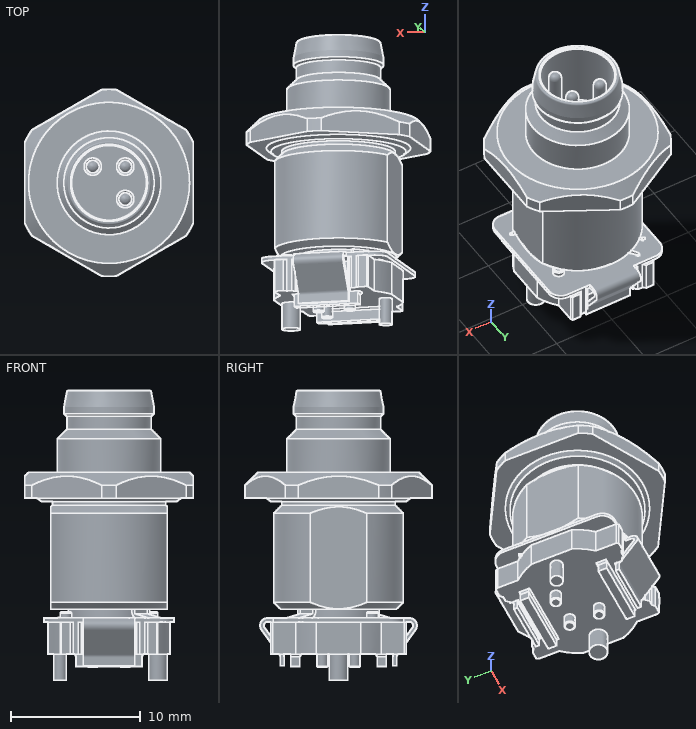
import cadquery as cq
import math


TOP_Z = 22.3
SNAP_TAPER_Z = 21.03
SNAP_Z = 20.5
GROOVE_Z = 20.3
COLLAR_CONE_Z = 19.31
COLLAR_Z = 18.58
HEX_TOP_Z = 16.01
HEX_BOTTOM_Z = 14.0
SEAL_Z = 13.74
BODY_TOP_Z = 13.47
BODY_BOTTOM_Z = 5.46
PLATE_TOP_Z = 4.8
PLATE_THICKNESS = 0.31
PLATE_BOTTOM_Z = PLATE_TOP_Z - PLATE_THICKNESS
HOUSING_BOTTOM_Z = 2.0
SPRING_BOTTOM_Z = 1.12
FOOT_BOTTOM_Z = 1.05
CONTACT_TAIL_Z = 1.0

RIM_RADIUS = 3.23
RIM_ROUNDING = 0.15
PLUG_RADIUS = 3.25
SNAP_RADIUS = 3.48
COLLAR_RADIUS = 4.0
SEAL_TOP_RADIUS = 5.55
SEAL_BOTTOM_RADIUS = 5.2
RELIEF_RADIUS = 4.37
BODY_RADIUS = 5.0
BODY_TOP_CHAMFER = BODY_RADIUS - RELIEF_RADIUS
BODY_BOTTOM_CHAMFER = 0.54
BODY_FLATS = 8.99
NECK_RADIUS = 3.15

HEX_FLATS = 13.0
HEX_HALF_ANGLE = 30
HEX_CORNER_RADIUS = 7.2
HEX_FACE_RADIUS = 6.2

BORE_RADIUS = 2.88
BORE_DEPTH = 5.58
BORE_LIP = 0.1
CONTACT_OFFSET = 1.25
CONTACT_POINTS = [(-CONTACT_OFFSET, CONTACT_OFFSET), (CONTACT_OFFSET, CONTACT_OFFSET),
                  (CONTACT_OFFSET, -CONTACT_OFFSET)]
CONTACT_RADIUS = 0.5
CONTACT_ROUNDING = 0.45
CONTACT_TOP_Z = 22.0
CONTACT_RECESS_RADIUS = 0.67
CONTACT_RECESS_DEPTH = 0.22
CONTACT_TAIL_RADIUS = 0.42
CONTACT_TAIL_CHAMFER = 0.07

HOUSING_RADIUS = BODY_RADIUS
HOUSING_LENGTH_X = 9.39
HOUSING_BLOCK_X = 7.5
HOUSING_LENGTH_Y = 10.44
RECESS_MOUTH_HALF = 2.99
RECESS_HALF = 2.77
POCKET_MOUTH_HALF = 2.36
POCKET_STEP_HALF = 2.15
POCKET_HALF = 2.03
POCKET_SLANT_DEPTH = 0.45
POCKET_DEPTH = 1.12
RAMP_BOTTOM_Z = 2.75
RAMP_RISE = 1.0
CORNER_BEVEL_X = 0.1
CORNER_BEVEL_Y = 0.18
FOOT_LENGTH = 5.08
FOOT_WIDTH = 0.71
FOOT_OFFSET = 3.32
FOOT_FLARE = 0.13
FOOT_FLARE_Z = 1.83
PEG_OFFSET = 3.77
SMALL_PEG_RADIUS = 0.5
LARGE_PEG_RADIUS = 0.71

PLATE_SIZE = 10.04
JOINT_OVERLAP = 0.22
PLATE_CORNER_RADIUS = 1.05
RECESS_DEPTH = (HOUSING_LENGTH_Y - PLATE_SIZE) / 2
SPRING_WIDTH = 3.97
SPRING_CURL_Y = 5.46
SPRING_CURL_RADIUS = 0.58
SPRING_SLOPE = 54.0
SPRING_TAIL_Y = 4.48
SPRING_BEND_RADIUS = 0.33
STUD_X = 3.32
STUD_Y = 2.6
STUD_RADIUS = 0.45
STUD_TOP_Z = 5.26
STUD_CHAMFER = 0.1
FINGER_ANGLES = (135, 315)
FINGER_WIDTH = 1.38
FINGER_HINGE = 5.0
FINGER_BEND_Z = 5.13
FINGER_BEND_RADIUS = 0.67
FINGER_GAP = 0.02
FINGER_SLOT_WIDTH = 1.85
FINGER_RELIEF_RADIUS = 0.13


def cylinder(radius, bottom_z, top_z, x=0.0, y=0.0):
    return cq.Workplane("XY", origin=(x, y, bottom_z)).circle(radius).extrude(top_z - bottom_z)


def make_shell():
    """Plug end and collar through the flange, with the sealing ring and relief under it."""
    profile = [
        (0, HEX_BOTTOM_Z), (COLLAR_RADIUS, HEX_BOTTOM_Z), (COLLAR_RADIUS, COLLAR_Z),
        (PLUG_RADIUS, COLLAR_CONE_Z), (PLUG_RADIUS, GROOVE_Z), (SNAP_RADIUS, SNAP_Z),
        (SNAP_RADIUS, SNAP_TAPER_Z), (RIM_RADIUS, TOP_Z), (0, TOP_Z),
    ]
    plug = cq.Workplane("XZ").polyline(profile).close().revolve(360, (0, 0, 0), (0, 1, 0))
    plug = plug.faces(">Z").edges().fillet(RIM_ROUNDING)
    seal_profile = [
        (0, BODY_TOP_Z), (RELIEF_RADIUS, BODY_TOP_Z), (RELIEF_RADIUS, SEAL_Z),
        (SEAL_BOTTOM_RADIUS, SEAL_Z), (SEAL_TOP_RADIUS, HEX_BOTTOM_Z), (0, HEX_BOTTOM_Z),
    ]
    seal = cq.Workplane("XZ").polyline(seal_profile).close().revolve(360, (0, 0, 0), (0, 1, 0))
    return plug.union(seal)


def make_hex_flange():
    """Hexagon with flats facing X, trimmed by a chamfered round blank."""
    height = HEX_TOP_Z - HEX_BOTTOM_Z
    hexagon = (cq.Workplane("XY", origin=(0, 0, HEX_BOTTOM_Z))
               .polygon(6, HEX_FLATS / math.cos(math.radians(HEX_HALF_ANGLE))).extrude(height)
               .rotate((0, 0, 0), (0, 0, 1), HEX_HALF_ANGLE))
    blank = cylinder(HEX_CORNER_RADIUS, HEX_BOTTOM_Z, HEX_TOP_Z)
    blank = blank.faces(">Z").chamfer(HEX_CORNER_RADIUS - HEX_FACE_RADIUS)
    return hexagon.intersect(blank)


def make_body():
    """Barrel with two flats facing X, standing on a narrower neck."""
    barrel = cylinder(BODY_RADIUS, BODY_BOTTOM_Z, BODY_TOP_Z)
    barrel = barrel.faces(">Z").chamfer(BODY_TOP_CHAMFER).faces("<Z").chamfer(BODY_BOTTOM_CHAMFER)
    flats = (cq.Workplane("XY", origin=(0, 0, BODY_BOTTOM_Z)).rect(BODY_FLATS, HEX_FLATS)
             .extrude(BODY_TOP_Z - BODY_BOTTOM_Z))
    neck = cylinder(NECK_RADIUS, PLATE_BOTTOM_Z, BODY_BOTTOM_Z)
    return barrel.intersect(flats).union(neck)


def make_socket():
    """Bore in the plug end, with a chamfered mouth and a recess around each contact."""
    floor_z = TOP_Z - BORE_DEPTH
    bore = cylinder(BORE_RADIUS, floor_z, TOP_Z)
    mouth = (cq.Workplane("XY", origin=(0, 0, TOP_Z)).circle(BORE_RADIUS + BORE_LIP)
             .workplane(offset=-BORE_LIP).circle(BORE_RADIUS).loft())
    socket = bore.union(mouth)
    for x, y in CONTACT_POINTS:
        recess = (cq.Workplane("XY", origin=(x, y, floor_z)).circle(CONTACT_RECESS_RADIUS)
                  .workplane(offset=-CONTACT_RECESS_DEPTH).circle(CONTACT_RADIUS).loft())
        socket = socket.union(recess)
    return socket


def make_contact(x, y):
    """Round-tipped pin inside the socket and the solder tail on the same axis."""
    pin = cylinder(CONTACT_RADIUS, HEX_BOTTOM_Z, CONTACT_TOP_Z, x, y)
    pin = pin.faces(">Z").edges().fillet(CONTACT_ROUNDING)
    tail = cylinder(CONTACT_TAIL_RADIUS, CONTACT_TAIL_Z, PLATE_BOTTOM_Z, x, y)
    tail = tail.faces("<Z").chamfer(CONTACT_TAIL_CHAMFER)
    return pin.union(tail)


def make_pocket():
    """Spring pocket in the -Y side: a stepped mouth, and a ramp that deepens its upper part."""
    face_y = -HOUSING_LENGTH_Y / 2
    steps = [(RECESS_MOUTH_HALF, 0), (RECESS_HALF, RECESS_DEPTH), (POCKET_MOUTH_HALF, RECESS_DEPTH),
             (POCKET_STEP_HALF, POCKET_SLANT_DEPTH), (POCKET_HALF, POCKET_SLANT_DEPTH),
             (POCKET_HALF, POCKET_DEPTH)]
    outline = [(half, face_y + depth) for half, depth in steps]
    outline += [(-x, y) for x, y in reversed(outline)]
    pocket = (cq.Workplane("XY", origin=(0, 0, HOUSING_BOTTOM_Z)).polyline(outline).close()
              .extrude(PLATE_BOTTOM_Z - HOUSING_BOTTOM_Z))
    back_y = face_y + POCKET_DEPTH
    deep_y = back_y + RAMP_RISE
    ramp_outline = [(back_y, RAMP_BOTTOM_Z), (deep_y, RAMP_BOTTOM_Z + RAMP_RISE),
                    (deep_y, PLATE_BOTTOM_Z), (back_y, PLATE_BOTTOM_Z)]
    above_ramp = (cq.Workplane("YZ", origin=(-POCKET_HALF, 0, 0)).polyline(ramp_outline).close()
                  .extrude(2 * POCKET_HALF))
    return pocket.union(above_ramp)


def make_foot():
    """Bar under the -Y side of the housing, flared outward in X and inward in Y at its root."""
    bar = (cq.Workplane("XY", origin=(0, -FOOT_OFFSET, FOOT_BOTTOM_Z))
           .rect(FOOT_LENGTH, FOOT_WIDTH).extrude(HOUSING_BOTTOM_Z - FOOT_BOTTOM_Z))
    root = (cq.Workplane("XY", origin=(0, -FOOT_OFFSET, FOOT_FLARE_Z)).rect(FOOT_LENGTH, FOOT_WIDTH)
            .workplane(offset=HOUSING_BOTTOM_Z - FOOT_FLARE_Z).center(0, FOOT_FLARE / 2)
            .rect(FOOT_LENGTH + 2 * FOOT_FLARE, FOOT_WIDTH + FOOT_FLARE).loft())
    return bar.union(root)


def make_housing():
    """Flatted disc with bevelled corner blocks, spring pockets, feet and two pegs."""
    height = PLATE_BOTTOM_Z - HOUSING_BOTTOM_Z
    base = cq.Workplane("XY", origin=(0, 0, HOUSING_BOTTOM_Z))
    disc = base.circle(HOUSING_RADIUS).extrude(height)
    disc = disc.intersect(base.rect(HOUSING_LENGTH_X, HOUSING_LENGTH_Y).extrude(height))
    bevel_x = HOUSING_BLOCK_X / 2 - CORNER_BEVEL_X
    bevel_y = HOUSING_LENGTH_Y / 2 - CORNER_BEVEL_Y
    quarter = [(HOUSING_BLOCK_X / 2, bevel_y), (bevel_x, HOUSING_LENGTH_Y / 2)]
    upper_half = quarter + [(-x, y) for x, y in reversed(quarter)]
    block = base.polyline(upper_half + [(-x, -y) for x, y in upper_half]).close().extrude(height)
    housing = disc.union(block)
    for angle in (0, 180):
        housing = housing.cut(make_pocket().rotate((0, 0, 0), (0, 0, 1), angle))
        housing = housing.union(make_foot().rotate((0, 0, 0), (0, 0, 1), angle))
    housing = housing.union(cylinder(SMALL_PEG_RADIUS, 0, HOUSING_BOTTOM_Z, -PEG_OFFSET))
    return housing.union(cylinder(LARGE_PEG_RADIUS, 0, HOUSING_BOTTOM_Z, PEG_OFFSET))


def make_spring():
    """Strip that leaves the plate toward +Y, curls down, slopes back and ends in a straight tail."""
    slope = math.radians(SPRING_SLOPE)
    center_z = PLATE_TOP_Z - SPRING_CURL_RADIUS

    def on_curl(radius, angle):
        return (SPRING_CURL_Y + radius * math.cos(angle), center_z + radius * math.sin(angle))

    def bend_z(tangent_point, tail_y):
        return tangent_point[1] - (tangent_point[0] - tail_y) * math.tan(slope)

    start_y = PLATE_SIZE / 2 - JOINT_OVERLAP
    curl_end = slope - math.pi / 2
    curl_middle = slope / 2
    inner_radius = SPRING_CURL_RADIUS - PLATE_THICKNESS
    inner_tail_y = SPRING_TAIL_Y - PLATE_THICKNESS
    outer_end = on_curl(SPRING_CURL_RADIUS, curl_end)
    inner_end = on_curl(inner_radius, curl_end)
    outer_bend_z = bend_z(outer_end, SPRING_TAIL_Y)
    inner_bend_z = bend_z(inner_end, inner_tail_y)
    strip = (cq.Workplane("YZ", origin=(-SPRING_WIDTH / 2, 0, 0))
             .moveTo(start_y, PLATE_TOP_Z)
             .lineTo(SPRING_CURL_Y, PLATE_TOP_Z)
             .threePointArc(on_curl(SPRING_CURL_RADIUS, curl_middle), outer_end)
             .lineTo(SPRING_TAIL_Y, outer_bend_z)
             .lineTo(SPRING_TAIL_Y, SPRING_BOTTOM_Z)
             .lineTo(inner_tail_y, SPRING_BOTTOM_Z)
             .lineTo(inner_tail_y, inner_bend_z)
             .lineTo(*inner_end)
             .threePointArc(on_curl(inner_radius, curl_middle), (SPRING_CURL_Y, PLATE_BOTTOM_Z))
             .lineTo(start_y, PLATE_BOTTOM_Z)
             .close().extrude(SPRING_WIDTH))
    outer_bend = cq.selectors.NearestToPointSelector((0, SPRING_TAIL_Y, outer_bend_z))
    inner_bend = cq.selectors.NearestToPointSelector((0, inner_tail_y, inner_bend_z))
    strip = strip.edges(outer_bend).fillet(SPRING_BEND_RADIUS)
    return strip.edges(inner_bend).fillet(SPRING_BEND_RADIUS + PLATE_THICKNESS)


def make_finger():
    """Tongue toward +X that rises inward from the plate and stands upright beside the neck."""
    root_x = FINGER_HINGE + JOINT_OVERLAP
    upright_inner = NECK_RADIUS + FINGER_GAP
    upright_outer = upright_inner + PLATE_THICKNESS
    under_bend_z = FINGER_BEND_Z - PLATE_THICKNESS
    profile = [
        (root_x, PLATE_BOTTOM_Z), (root_x, PLATE_TOP_Z), (FINGER_HINGE, PLATE_TOP_Z),
        (upright_outer, FINGER_BEND_Z), (upright_outer, BODY_BOTTOM_Z),
        (upright_inner, BODY_BOTTOM_Z), (upright_inner, under_bend_z), (FINGER_HINGE, PLATE_BOTTOM_Z),
    ]
    finger = (cq.Workplane("XZ", origin=(0, FINGER_WIDTH / 2, 0))
              .polyline(profile).close().extrude(FINGER_WIDTH))
    under_bend = cq.selectors.NearestToPointSelector((upright_inner, 0, under_bend_z))
    return finger.edges(under_bend).fillet(FINGER_BEND_RADIUS)


def make_finger_slot():
    """Opening in the plate around a finger, with round reliefs at the ends of the hinge."""
    base = cq.Workplane("XY", origin=(0, 0, PLATE_BOTTOM_Z))
    length = FINGER_HINGE - NECK_RADIUS
    slot = (base.center(NECK_RADIUS + length / 2, 0).rect(length, FINGER_SLOT_WIDTH)
            .extrude(PLATE_THICKNESS))
    half = FINGER_SLOT_WIDTH / 2
    reliefs = (base.pushPoints([(FINGER_HINGE, -half), (FINGER_HINGE, half)])
               .circle(FINGER_RELIEF_RADIUS).extrude(PLATE_THICKNESS))
    return slot.union(reliefs)


def make_plate():
    """Square plate with two curled springs, two bent fingers and two studs."""
    plate = (cq.Workplane("XY", origin=(0, 0, PLATE_BOTTOM_Z)).rect(PLATE_SIZE, PLATE_SIZE)
             .extrude(PLATE_THICKNESS).edges("|Z").fillet(PLATE_CORNER_RADIUS))
    for angle in FINGER_ANGLES:
        plate = plate.cut(make_finger_slot().rotate((0, 0, 0), (0, 0, 1), angle))
        plate = plate.union(make_finger().rotate((0, 0, 0), (0, 0, 1), angle))
    for angle in (0, 180):
        plate = plate.union(make_spring().rotate((0, 0, 0), (0, 0, 1), angle))
    for side in (-1, 1):
        stud = cylinder(STUD_RADIUS, PLATE_BOTTOM_Z, STUD_TOP_Z, side * STUD_X, side * STUD_Y)
        plate = plate.union(stud.faces(">Z").chamfer(STUD_CHAMFER))
    return plate


connector = make_shell().union(make_hex_flange()).union(make_body()).cut(make_socket())
result = connector.union(make_housing()).union(make_plate())
for contact_x, contact_y in CONTACT_POINTS:
    result = result.union(make_contact(contact_x, contact_y))